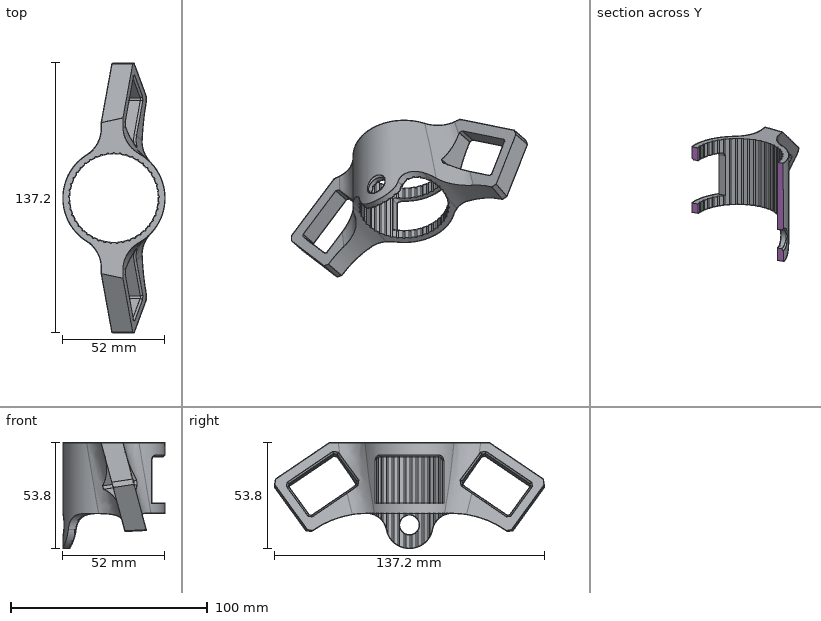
import cadquery as cq
import math

outer_radius = 26.0
sleeve_height = 36.0
overall_height = 53.82

bore_radius = 22.5
groove_radius = 0.5
groove_count = 45
groove_start_angle = 90.0

lug_radius = 12.0
lug_blend_radius = 10.0
lug_hole_radius = 5.0
lug_hole_chamfer = 1.0
lug_center_z = sleeve_height - overall_height + lug_radius
lug_blend_y = math.sqrt((lug_radius + lug_blend_radius) ** 2 - (lug_center_z + lug_blend_radius) ** 2)

window_bottom = 5.3
window_top = 28.8
window_half_width = 16.7
window_corner_radius = 2.0
window_chamfer = 1.0

arm_reach = 137.17 / 2
arm_lean = math.radians(15)
arm_near_x = -6.5
arm_step = cq.Vector(10.65, 0, 1.6)
arm_blend_radius = 15.0
arm_plane = cq.Plane(
    origin=(arm_near_x, 0, sleeve_height),
    xDir=(0, 1, 0),
    normal=(math.cos(arm_lean), 0, math.sin(arm_lean)),
)

frame_pitch = math.radians(35)
frame_chamfer = 2.0
frame_tip_y = arm_reach + frame_chamfer * math.sin(frame_pitch)
frame_tip_drop = 21.95
underside_radius = 48.0
underside_sweep = math.radians(45)

tip_wall = 5.35
side_wall = 5.8
opening_length = 29.9
opening_width = 20.2
opening_tip_chamfer = 0.9
opening_root_chamfer = 1.3
opening_rim_chamfer = 1.0

margin = 10.0
far_x = outer_radius + margin
far_y = arm_reach + margin
low_z = sleeve_height - overall_height - margin
high_z = sleeve_height + margin
frame_extent = 2 * far_y
side_overshoot = 3.0
tolerance = 1e-3


def cylinder(radius, bottom, top):
    return cq.Workplane("XY", origin=(0, 0, bottom)).circle(radius).extrude(top - bottom)


def frame_point(inward, down):
    """Slab-face point at a distance from the tip corner, along and across the frame."""
    return (
        frame_tip_y - inward * math.cos(frame_pitch) - down * math.sin(frame_pitch),
        -frame_tip_drop + inward * math.sin(frame_pitch) - down * math.cos(frame_pitch),
    )


def frame_position(inward, down, across):
    """Point in space; across runs from 0 on the -X face to 1 on the +X face."""
    return arm_plane.toWorldCoords(frame_point(inward, down)) + arm_step * across


def frame_prism(inward, length, down, width):
    """Rectangle aligned with the frame, swept along the arm's side edges."""
    corners = [
        frame_point(inward, down),
        frame_point(inward + length, down),
        frame_point(inward + length, down + width),
        frame_point(inward, down + width),
    ]
    outline = cq.Workplane(arm_plane).polyline(corners).close().wire().val()
    outline = outline.translate(arm_step * -side_overshoot)
    sweep = arm_step * (1 + 2 * side_overshoot)
    return cq.Workplane(cq.Solid.extrudeLinear(outline, [], sweep))


def nearest_edge(body, point):
    return body.edges(cq.selectors.NearestToPointSelector(point.toTuple()))


def blended_core():
    """Sleeve-sized cylinder joined to one leaning slab by concave blends."""
    lean = math.tan(arm_lean)
    slab_width = arm_step.x + arm_step.z * lean
    low_x = arm_near_x + (sleeve_height - low_z) * lean
    high_x = arm_near_x + (sleeve_height - high_z) * lean
    section = [
        (low_x, low_z),
        (low_x + slab_width, low_z),
        (high_x + slab_width, high_z),
        (high_x, high_z),
    ]
    slab = cq.Workplane("XZ").polyline(section).close().extrude(-far_y)
    core = cylinder(outer_radius, low_z, high_z)
    joined = core.union(slab)
    seams = [
        edge for edge in joined.edges("not #Z").vals()
        if abs(edge.Center().z - (low_z + high_z) / 2) < margin
        and 0 < edge.Center().y < outer_radius
    ]
    return joined.newObject(seams).fillet(arm_blend_radius)


def underside_point(angle):
    """Point (y, z) on the arch under an arm, at an angle past its level start."""
    return (
        lug_blend_y + underside_radius * math.sin(angle),
        -underside_radius * (1 - math.cos(angle)),
    )


def side_outline():
    """Half outline from the side: flat under the sleeve, then arching down under the arm."""
    arch_end = underside_point(underside_sweep)
    return (
        cq.Workplane("YZ", origin=(-far_x, 0, 0))
        .lineTo(lug_blend_y, 0)
        .threePointArc(underside_point(underside_sweep / 2), arch_end)
        .lineTo(far_y, arch_end[1])
        .lineTo(far_y, sleeve_height)
        .lineTo(0, sleeve_height)
        .close()
        .extrude(2 * far_x)
    )


def opening():
    """Opening tool with chamfered corners."""
    tool = frame_prism(tip_wall, opening_length, side_wall, opening_width)
    corner_chamfers = [
        (tip_wall, opening_tip_chamfer),
        (tip_wall + opening_length, opening_root_chamfer),
    ]
    for inward, size in corner_chamfers:
        for down in (side_wall, side_wall + opening_width):
            tool = nearest_edge(tool, frame_position(inward, down, 0.5)).chamfer(size)
    return tool


def opening_rim(body):
    """Edges where the opening meets the +X face of the arm and its blend."""
    tool = opening().val()
    middle = frame_position(tip_wall + opening_length / 2, side_wall + opening_width / 2, 0.5)

    def on_tool(edge):
        ends_and_middle = [edge.positionAt(t) for t in (0, 0.5, 1)]
        return all(tool.distance(cq.Vertex.makeVertex(*p.toTuple())) < tolerance for p in ends_and_middle)

    def on_far_side(edge):
        return (edge.positionAt(0.5) - middle).dot(arm_plane.zDir) > arm_step.x / 4

    rim = [edge for edge in body.edges().vals() if on_far_side(edge) and on_tool(edge)]
    return body.newObject(rim)


def half_body():
    """The +Y half of the sleeve with its arm, not yet bored."""
    frame = frame_prism(0, frame_extent, 0, frame_extent)
    body = blended_core().intersect(side_outline()).intersect(frame)
    body = nearest_edge(body, frame_position(0, 0, 0.5)).chamfer(frame_chamfer)
    toe = min(body.edges("not(#Z or |Y)").vals(), key=lambda edge: edge.Center().z)
    body = body.newObject([toe]).chamfer(frame_chamfer)
    body = body.cut(opening())
    return opening_rim(body).chamfer(opening_rim_chamfer)


def lug():
    """Rounded lug with concave blends into the lower rim, before boring."""
    side_plane = cq.Workplane("YZ", origin=(-far_x, 0, 0))
    tangent_share = lug_radius / (lug_radius + lug_blend_radius)
    tangent_z = lug_center_z - (lug_center_z + lug_blend_radius) * tangent_share
    web = side_plane.rect(2 * lug_blend_y, -2 * tangent_z).extrude(far_x)
    blends = (
        side_plane.pushPoints([(-lug_blend_y, -lug_blend_radius), (lug_blend_y, -lug_blend_radius)])
        .circle(lug_blend_radius)
        .extrude(far_x)
    )
    disc = side_plane.center(0, lug_center_z).circle(lug_radius).extrude(far_x)
    return cylinder(outer_radius, low_z, sleeve_height).intersect(web.cut(blends).union(disc))


def bore():
    """Bore with a ring of small round grooves along its full height."""
    grooves = (
        cq.Workplane("XY", origin=(0, 0, low_z))
        .polarArray(bore_radius, groove_start_angle, 360, groove_count)
        .circle(groove_radius)
        .extrude(high_z - low_z)
    )
    return cylinder(bore_radius, low_z, high_z).union(grooves)


def lug_hole():
    """Radial hole through the lug, countersunk on the outside."""
    hole = cq.Workplane("YZ", origin=(-far_x, 0, lug_center_z)).circle(lug_hole_radius).extrude(far_x)
    mouth_radius = lug_hole_radius + lug_hole_chamfer
    countersink = cq.Solid.makeCone(
        mouth_radius, 0, mouth_radius, cq.Vector(-outer_radius, 0, lug_center_z), cq.Vector(1, 0, 0)
    )
    return hole.union(cq.Workplane(countersink))


def cut_window(body):
    """Window through the +X wall; the outer rim is chamfered except along its sill."""
    tool = (
        cq.Workplane("YZ")
        .center(0, (window_bottom + window_top) / 2)
        .rect(2 * window_half_width, window_top - window_bottom)
        .extrude(far_x)
        .edges("|X and >Z")
        .fillet(window_corner_radius)
    )
    body = body.cut(tool)

    def on_outer_rim(edge):
        point = edge.positionAt(0.5)
        return (
            point.x > 0
            and abs(math.hypot(point.x, point.y) - outer_radius) < tolerance
            and abs(point.y) < window_half_width + tolerance
            and window_bottom + tolerance < point.z < window_top + tolerance
        )

    rim = [edge for edge in body.edges().vals() if on_outer_rim(edge)]
    return body.newObject(rim).chamfer(window_chamfer)


half = half_body()
body = half.union(half.mirror("XZ")).union(lug())
body = body.cut(bore()).cut(lug_hole())
result = cut_window(body)